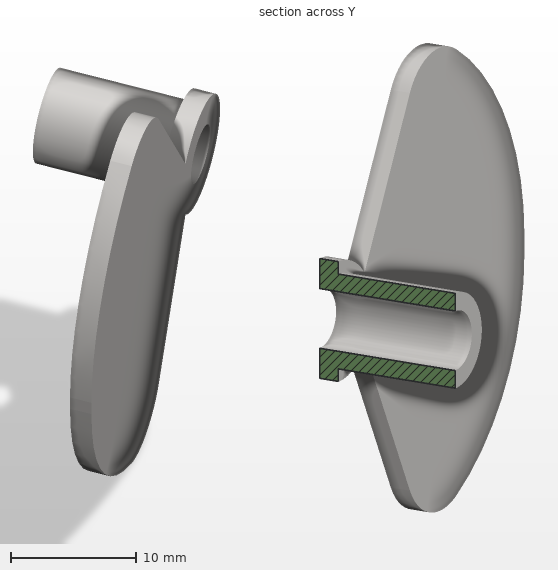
import cadquery as cq
import math

total_length = 12.8
plate_thickness = 1.8
flange_radius = 5.0
sleeve_diameter = 7.9
bore_diameter = 4.9

blade_height = 38.35
overall_width = 32.85
tip_radius = 5.0
tip_distance = 15.1
edge_angle = 62.9
rim_end_angle = 60.0

tip_height = blade_height / 2 - tip_radius
rim_distance = overall_width - flange_radius
rim_cos = math.cos(math.radians(rim_end_angle))
rim_sin = math.sin(math.radians(rim_end_angle))
rim_radius = tip_radius + (rim_distance - tip_distance - tip_radius) / (1 - rim_cos)
rim_center_distance = rim_distance - rim_radius
rim_center_height = tip_height - (rim_radius - tip_radius) * rim_sin


def rim_point(angle):
    """Point on the upper rim arc, with the angle in degrees from -Y towards +Z."""
    turn = math.radians(angle)
    distance = rim_center_distance + rim_radius * math.cos(turn)
    height = rim_center_height + rim_radius * math.sin(turn)
    return (-distance, height)


def mirrored(point):
    """Matching point on the lower half of the blade."""
    return (point[0], -point[1])


def make_blade():
    slope = math.radians(edge_angle)
    edge_distance = tip_distance - tip_radius * math.sin(slope)
    edge_height = tip_height + tip_radius * math.cos(slope)
    root = (-(edge_distance - edge_height / math.tan(slope)), 0)
    edge_end = (-edge_distance, edge_height)
    tip_top = (-tip_distance, tip_height + tip_radius)
    rim_start = rim_point(rim_end_angle)
    rim_middle = rim_point(rim_end_angle / 2)
    rim_end = rim_point(0)
    return (
        cq.Workplane("YZ")
        .moveTo(*root)
        .lineTo(*edge_end)
        .threePointArc(tip_top, rim_start)
        .threePointArc(rim_middle, rim_end)
        .lineTo(*mirrored(rim_end))
        .threePointArc(mirrored(rim_middle), mirrored(rim_start))
        .threePointArc(mirrored(tip_top), mirrored(edge_end))
        .close()
        .extrude(-plate_thickness)
    )


def make_hub():
    flange = cq.Workplane("YZ").circle(flange_radius).extrude(-plate_thickness)
    sleeve = cq.Workplane("YZ").circle(sleeve_diameter / 2).extrude(-total_length)
    return flange.union(sleeve)


bore = cq.Workplane("YZ").circle(bore_diameter / 2).extrude(-total_length)
result = make_hub().union(make_blade()).cut(bore)